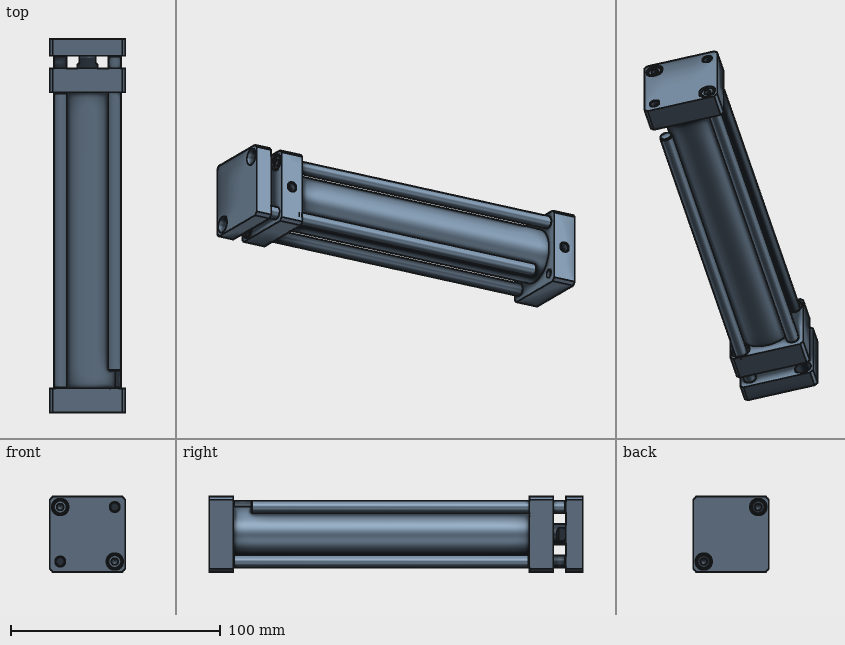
import cadquery as cq
import math


PLATE_SIDE = 36.0
PLATE_CORNER = 1.5
TOOL_PLATE_THICK = 8.0
CAP_THICK = 11.5
PLATE_GAP = 6.0
OVERALL_LENGTH = 178.0

REAR_CAP_START = 0.0
TUBE_START = REAR_CAP_START + CAP_THICK
TOOL_PLATE_START = OVERALL_LENGTH - TOOL_PLATE_THICK
ROD_CAP_START = TOOL_PLATE_START - PLATE_GAP - CAP_THICK
ROD_CAP_END = ROD_CAP_START + CAP_THICK
TUBE_LENGTH = ROD_CAP_START - TUBE_START

TUBE_DIA = 26.4
ROD_DIA = 10.0
ROD_ACROSS_FLATS = 8.0
ROD_FLAT_LENGTH = 3.5
ROD_END_FILLET = 1.0

CORNER_OFFSET = 13.0
TIE_CORNERS = [(-CORNER_OFFSET, CORNER_OFFSET), (CORNER_OFFSET, -CORNER_OFFSET)]
GUIDE_CORNERS = [(CORNER_OFFSET, CORNER_OFFSET), (-CORNER_OFFSET, -CORNER_OFFSET)]
BAR_DIA = 6.0
BAR_CHAMFER = 0.5
GUIDE_LENGTH = 150.0
GUIDE_RECESS_DIA = 9.0
GUIDE_RECESS_DEPTH = 1.5

STEM_DIA = 4.0
HEAD_DIA = 7.0
HEAD_HEIGHT = 4.0
HEAD_CHAMFER = 0.5
SOCKET_DIA = 3.24
SOCKET_DEPTH = 2.5
COUNTERBORE_DIA = 8.0
COUNTERBORE_DEPTH = 4.4
ACCESS_HOLE_DIA = 8.0

THREAD_CORE_DIA = 4.13
THREAD_MOUTH_DIA = 4.92
THREAD_CHAMFER = (THREAD_MOUTH_DIA - THREAD_CORE_DIA) / 2
PORT_DEPTH = 5.0
PORT_BAR_DIA = 2.0
DRILL_POINT_ANGLE = 118.0


def bar(dia, start, length, x=0.0, z=0.0):
    """A round bar along +Y that begins at the station `start`."""
    plane = cq.Plane(origin=(x, start, z), xDir=(1, 0, 0), normal=(0, 1, 0))
    return cq.Workplane(plane).circle(dia / 2).extrude(length)


def drill(dia, depth, origin, direction, mouth_chamfer=0.0):
    """A drilled hole with a conical end, entering at `origin` along `direction`.

    Its mouth is widened by a 45 degree chamfer when `mouth_chamfer` is given.
    """
    radius = dia / 2
    tip = depth + radius / math.tan(math.radians(DRILL_POINT_ANGLE / 2))
    mouth = [(0, 0), (radius, 0)]
    if mouth_chamfer > 0:
        mouth = [(0, 0), (radius + mouth_chamfer, 0), (radius, mouth_chamfer)]
    profile = [*mouth, (radius, depth), (0, tip)]
    normal = cq.Vector(0, 0, 1)
    plane = cq.Plane(origin=origin, xDir=cq.Vector(*direction).cross(normal), normal=normal)
    return cq.Workplane(plane).polyline(profile).close().revolve(360, (0, 0), (0, 1))


def plate(start, thickness):
    """A square plate with bevelled corner edges."""
    block = cq.Workplane("XY").box(PLATE_SIDE, thickness, PLATE_SIDE)
    return block.edges("|Y").chamfer(PLATE_CORNER).translate((0, start + thickness / 2, 0))


def air_port(cap_start):
    """A threaded port in the -X side, with a thin bar parallel to Y left standing across it."""
    middle = cap_start + CAP_THICK / 2
    side = -PLATE_SIDE / 2
    hole = drill(THREAD_CORE_DIA, PORT_DEPTH, (side, middle, 0), (1, 0, 0), THREAD_CHAMFER)
    cross_bar = bar(PORT_BAR_DIA, cap_start, CAP_THICK, x=side + PORT_DEPTH)
    return hole.cut(cross_bar)


def tie_rod_seats(cap_start, counterbore_start):
    """Stem holes through a cap, with a counterbore for each screw head."""
    seats = cq.Workplane("XY")
    for x, z in TIE_CORNERS:
        seats = seats.add(bar(STEM_DIA, cap_start, CAP_THICK, x, z))
        seats = seats.add(bar(COUNTERBORE_DIA, counterbore_start, COUNTERBORE_DEPTH, x, z))
    return seats.combine()


def make_rear_cap():
    """The cap behind the tube, with tie rod seats, two threaded mounting holes and an air port."""
    cap = plate(REAR_CAP_START, CAP_THICK)
    cap = cap.cut(tie_rod_seats(REAR_CAP_START, REAR_CAP_START))
    for x, z in GUIDE_CORNERS:
        entry = (x, REAR_CAP_START, z)
        cap = cap.cut(drill(THREAD_CORE_DIA, CAP_THICK, entry, (0, 1, 0), THREAD_CHAMFER))
    return cap.cut(air_port(REAR_CAP_START))


def make_rod_cap():
    """The cap ahead of the tube, which the piston rod and the guide rods pass through."""
    cap = plate(ROD_CAP_START, CAP_THICK)
    cap = cap.cut(tie_rod_seats(ROD_CAP_START, ROD_CAP_END - COUNTERBORE_DEPTH))
    for x, z in GUIDE_CORNERS:
        cap = cap.cut(bar(BAR_DIA, ROD_CAP_START, CAP_THICK, x, z))
        cap = cap.cut(bar(GUIDE_RECESS_DIA, ROD_CAP_START, GUIDE_RECESS_DEPTH, x, z))
    cap = cap.cut(bar(ROD_DIA, ROD_CAP_START, CAP_THICK))
    return cap.cut(air_port(ROD_CAP_START))


def make_tool_plate():
    """The front plate, with access holes in line with the tie rod screw heads."""
    tool_plate = plate(TOOL_PLATE_START, TOOL_PLATE_THICK)
    for x, z in TIE_CORNERS:
        tool_plate = tool_plate.cut(bar(ACCESS_HOLE_DIA, TOOL_PLATE_START, TOOL_PLATE_THICK, x, z))
    return tool_plate


def make_piston_rod():
    """A rod from the tube to the tooling plate, with two wrench flats that run out at 45 degrees."""
    rod = bar(ROD_DIA, ROD_CAP_START, TOOL_PLATE_START - ROD_CAP_START)
    rod = rod.faces(">Y").fillet(ROD_END_FILLET)
    flat_x = ROD_ACROSS_FLATS / 2
    outer_x = ROD_DIA / 2
    flat_end = TOOL_PLATE_START - ROD_FLAT_LENGTH
    runout_end = flat_end - (outer_x - flat_x)
    profile = [
        (flat_x, TOOL_PLATE_START),
        (flat_x, flat_end),
        (outer_x, runout_end),
        (outer_x, TOOL_PLATE_START),
    ]
    flat = cq.Workplane("XY").polyline(profile).close().extrude(outer_x, both=True)
    return rod.cut(flat).cut(flat.mirror("YZ"))


def screw_end(x, z):
    """The stem and the socketed head that hold a tie rod in the rear cap."""
    head_start = REAR_CAP_START + COUNTERBORE_DEPTH - HEAD_HEIGHT
    head = bar(HEAD_DIA, head_start, HEAD_HEIGHT, x, z).faces("<Y").chamfer(HEAD_CHAMFER)
    stem = bar(STEM_DIA, head_start, TUBE_START - head_start, x, z)
    return head.union(stem).cut(drill(SOCKET_DIA, SOCKET_DEPTH, (x, head_start, z), (0, 1, 0)))


def make_tie_rod(x, z):
    """A bar between the caps with the same screw end in each cap."""
    middle = (TUBE_START + ROD_CAP_START) / 2
    rear_end = screw_end(x, z)
    front_end = rear_end.mirror("XZ", (0, middle, 0))
    rod = bar(BAR_DIA, TUBE_START, TUBE_LENGTH, x, z).faces("<Y or >Y").chamfer(BAR_CHAMFER)
    return rod.union(rear_end).union(front_end)


def make_guide_rod(x, z):
    """A bar from the tooling plate through the rod cap, with a free end short of the rear cap."""
    rod = bar(BAR_DIA, TOOL_PLATE_START - GUIDE_LENGTH, GUIDE_LENGTH, x, z)
    return rod.faces("<Y or >Y").chamfer(BAR_CHAMFER)


rear_cap = make_rear_cap()
rod_cap = make_rod_cap()
tool_plate = make_tool_plate()
tube = bar(TUBE_DIA, TUBE_START, TUBE_LENGTH)
piston_rod = make_piston_rod()
tie_rods = [make_tie_rod(x, z) for x, z in TIE_CORNERS]
guide_rods = [make_guide_rod(x, z) for x, z in GUIDE_CORNERS]

bodies = [rear_cap, rod_cap, tool_plate, tube, piston_rod, *tie_rods, *guide_rods]
result = cq.Compound.makeCompound([body.solids().val() for body in bodies])